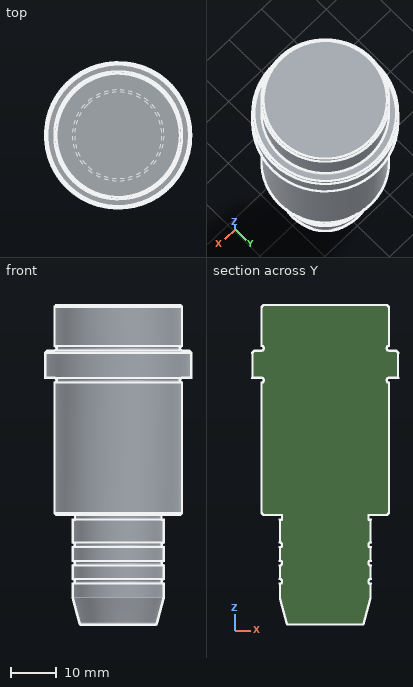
import cadquery as cq
import math

total_height = 70.0
flange_radius = 16.0
body_radius = 14.0
spigot_radius = 10.0
edge_chamfer = 0.5
tip_rounding = 0.5
groove_width = 1.0
relief_depth = 0.5

head_length = 10.0
flange_length = 6.0
body_length = 30.0
first_land_length = 6.0
barb_pitch = 4.0
barb_groove_count = 3
taper_length = 6.0
taper_angle = 15.0

flange_top = total_height - head_length
flange_bottom = flange_top - flange_length
body_bottom = flange_bottom - body_length
first_barb_groove_top = body_bottom - first_land_length
tip_radius = spigot_radius - taper_length * math.tan(math.radians(taper_angle))


def chamfered_cylinder(radius, bottom, top, chamfered_edges):
    """Upright cylinder whose selected end edges are chamfered."""
    cylinder = cq.Workplane("XY", origin=(0, 0, bottom)).circle(radius).extrude(top - bottom)
    return cylinder.edges(chamfered_edges).chamfer(edge_chamfer)


def round_groove(radius, top):
    """Cutter for a half-round groove around a cylinder, starting at the given level."""
    groove_radius = groove_width / 2
    section = cq.Workplane("XZ").center(radius, top - groove_radius).circle(groove_radius)
    return section.revolve(360, (-radius, 0), (-radius, 1))


def relief(radius, bottom):
    """Cutter for a square relief beside a shoulder, reaching out to the given radius."""
    ring = cq.Workplane("XY", origin=(0, 0, bottom)).circle(radius).circle(radius - relief_depth)
    return ring.extrude(groove_width)


def make_spigot():
    """Hose spigot with a tapered, rounded tip, a relief under the body and evenly spaced grooves."""
    outline = cq.Workplane("XZ").polyline([
        (0, 0),
        (tip_radius, 0),
        (spigot_radius, taper_length),
        (spigot_radius, body_bottom),
        (0, body_bottom),
    ]).close()
    spigot = outline.revolve(360, (0, 0), (0, 1)).edges("<Z").fillet(tip_rounding)
    for index in range(barb_groove_count):
        spigot = spigot.cut(round_groove(spigot_radius, first_barb_groove_top - index * barb_pitch))
    return spigot.cut(relief(spigot_radius, body_bottom - groove_width))


def make_body():
    """Plug body with chamfered end edges and a groove on each side of the flange."""
    body = chamfered_cylinder(body_radius, body_bottom, total_height, "%CIRCLE")
    body = body.cut(round_groove(body_radius, flange_top + groove_width))
    return body.cut(round_groove(body_radius, flange_bottom))


def make_flange():
    """Flange with only its upper rim chamfered."""
    return chamfered_cylinder(flange_radius, flange_bottom, flange_top, ">Z")


result = make_body().union(make_flange()).union(make_spigot())